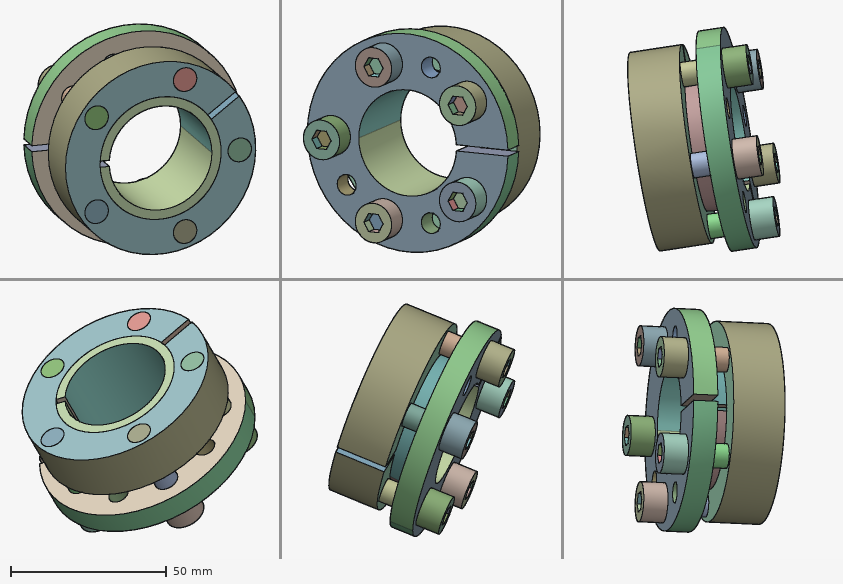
import cadquery as cq
import math


head_height = 8.0
flange_thickness = 8.0
ring_gap = 6.05
outer_ring_length = 17.0

flange_front = 0.0
flange_back = flange_front + flange_thickness
outer_ring_front = flange_back + ring_gap
assembly_back = outer_ring_front + outer_ring_length
rings_length = assembly_back - flange_front

flange_radius = 36.0
outer_ring_radius = 32.5
bore_radius = 17.5
taper_radius_at_flange = 22.45
taper_angle = 4.5

screw_count = 5
screw_pitch = 360.0 / screw_count
bolt_circle_radius = 27.0
head_diameter = 13.0
shank_diameter = 8.0
socket_across_flats = 6.0
socket_depth = 4.0

jacking_diameter = 6.8
jacking_angles = [screw_pitch * (step + 0.5) for step in (1, 3, 4)]

slit_width = 2.0
inner_slit_angle = 180.0
outer_slit_angle = screw_pitch / 2


def taper_radius(x):
    """Radius of the taper shared by both rings at position x."""
    return taper_radius_at_flange - (x - flange_back) * math.tan(math.radians(taper_angle))


def circle_point(angle):
    """Y and Z of the point at this angle on the bolt circle."""
    turn = math.radians(angle)
    return bolt_circle_radius * math.cos(turn), bolt_circle_radius * math.sin(turn)


def ring(profile):
    """Revolve an (x, radius) outline about the X axis."""
    return cq.Workplane("XY").polyline(profile).close().revolve(360, (0, 0, 0), (1, 0, 0))


def cross_holes(points, diameter):
    """Cylinders along X over the full length of the rings, at the given (y, z) points."""
    return (
        cq.Workplane("YZ", origin=(flange_front, 0, 0))
        .pushPoints(points)
        .circle(diameter / 2)
        .extrude(rings_length)
    )


def slit(angle):
    """Radial slab that cuts one wall of a ring from the axis outward at this angle."""
    slab = cq.Workplane("XY", origin=(flange_front, 0, 0)).box(
        rings_length, flange_radius, slit_width, centered=(False, False, True)
    )
    return slab.rotate((0, 0, 0), (1, 0, 0), angle)


screw_points = [circle_point(index * screw_pitch) for index in range(screw_count)]
jacking_points = [circle_point(angle) for angle in jacking_angles]
screw_holes = cross_holes(screw_points, shank_diameter)


def make_inner_ring():
    """Flange and tapered sleeve with one bore, slit on one side."""
    body = ring([
        (flange_front, bore_radius),
        (flange_front, flange_radius),
        (flange_back, flange_radius),
        (flange_back, taper_radius(flange_back)),
        (assembly_back, taper_radius(assembly_back)),
        (assembly_back, bore_radius),
    ])
    body = body.cut(screw_holes)
    body = body.cut(cross_holes(jacking_points, jacking_diameter))
    return body.cut(slit(inner_slit_angle))


def make_outer_ring():
    """Plain cylinder with a tapered bore, slit midway between two screws."""
    body = ring([
        (outer_ring_front, taper_radius(outer_ring_front)),
        (outer_ring_front, outer_ring_radius),
        (assembly_back, outer_ring_radius),
        (assembly_back, taper_radius(assembly_back)),
    ])
    return body.cut(screw_holes).cut(slit(outer_slit_angle))


def make_screw(y, z):
    """Socket head screw along X, with its head against the flange and corners of the hex along Y."""
    under_head = cq.Plane(origin=(flange_front, y, z), xDir=(0, -1, 0), normal=(-1, 0, 0))
    head = cq.Workplane(under_head).circle(head_diameter / 2).extrude(head_height)
    shank = cq.Workplane(under_head).circle(shank_diameter / 2).extrude(-rings_length)
    socket_across_corners = socket_across_flats / math.cos(math.radians(30))
    socket = (
        cq.Workplane(under_head)
        .workplane(offset=head_height)
        .polygon(6, socket_across_corners)
        .extrude(-socket_depth)
    )
    return head.union(shank).cut(socket)


inner_ring = make_inner_ring()
outer_ring = make_outer_ring()
screws = [make_screw(y, z) for y, z in screw_points]

result = cq.Compound.makeCompound([
    inner_ring.val(),
    outer_ring.val(),
    *[screw.val() for screw in screws],
])